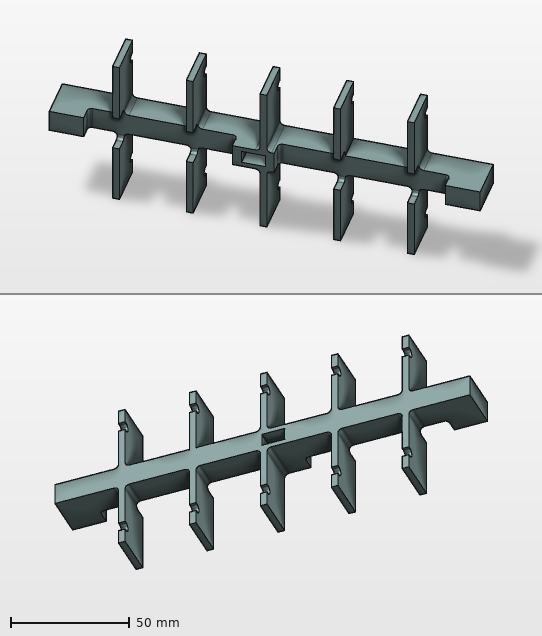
import cadquery as cq


bar_length = 190.0
depth = 19.4
bar_height = 10.3
back_y = depth / 2
front_y = -depth / 2

fin_thickness = 3.0
fin_pitch = 32.5
fin_count = 5
middle_fin_x = -0.5
upper_fin_height = 30.8
lower_fin_height = 30.4
root_radius = 2.0

sharp_upper_fin_index = 3

recessed_bar_depth = 12.4
recess_corner_radius = 1.9
recess_overhang = 3.0
recess_spans = [(-79.8, -14.2), (4.2, 79.6)]

window_length = 10.5
window_height = 5.9
window_center_x = -5.0

notch_radius = 2.0
notch_depth = 3.2
notch_tip_distance = 8.7


def block(x_min, x_max, y_min, y_max, z_min, z_max):
    """Box given by its limits along each axis."""
    size = (x_max - x_min, y_max - y_min, z_max - z_min)
    return cq.Workplane("XY").box(*size, centered=False).translate((x_min, y_min, z_min))


def root_fillet(fin_x, x_side, z_side):
    """Concave fillet filling the corner between one fin side and the bar."""
    corner_x = fin_x + x_side * fin_thickness / 2
    corner_z = z_side * bar_height / 2
    outer_x = corner_x + x_side * root_radius
    outer_z = corner_z + z_side * root_radius
    gap_to_arc = root_radius * (1 - 0.5 ** 0.5)
    return (
        cq.Workplane("XZ", origin=(0, back_y, 0))
        .moveTo(corner_x, corner_z)
        .lineTo(outer_x, corner_z)
        .threePointArc((corner_x + x_side * gap_to_arc, corner_z + z_side * gap_to_arc), (corner_x, outer_z))
        .close()
        .extrude(depth)
    )


def recess(x_min, x_max):
    """Front recess, taller than the bar so it also trims the fin roots."""
    z_limit = bar_height / 2 + recess_overhang
    bar_front_y = back_y - recessed_bar_depth
    pocket = block(x_min, x_max, front_y, bar_front_y, -z_limit, z_limit)
    return pocket.faces(">Y").edges().fillet(recess_corner_radius)


def notch(tip_z):
    """Slot along X through the back edge of every fin on one side."""
    center_y = back_y - notch_depth + notch_radius
    round_end = (
        cq.Workplane("YZ").center(center_y, tip_z).circle(notch_radius).extrude(bar_length / 2, both=True)
    )
    mouth = block(
        -bar_length / 2, bar_length / 2, center_y, back_y, tip_z - notch_radius, tip_z + notch_radius
    )
    return round_end.union(mouth)


top_z = bar_height / 2 + upper_fin_height
bottom_z = -bar_height / 2 - lower_fin_height

result = block(-bar_length / 2, bar_length / 2, front_y, back_y, -bar_height / 2, bar_height / 2)

for index in range(fin_count):
    fin_x = middle_fin_x + (index - fin_count // 2) * fin_pitch
    half_fin = fin_thickness / 2
    result = result.union(block(fin_x - half_fin, fin_x + half_fin, front_y, back_y, bottom_z, top_z))
    for z_side in (-1, 1):
        if z_side == 1 and index == sharp_upper_fin_index:
            continue
        for x_side in (-1, 1):
            result = result.union(root_fillet(fin_x, x_side, z_side))

for x_min, x_max in recess_spans:
    result = result.cut(recess(x_min, x_max))

for tip_z in (top_z - notch_tip_distance, bottom_z + notch_tip_distance):
    result = result.cut(notch(tip_z))

window = cq.Workplane("XY").box(window_length, depth, window_height)
result = result.cut(window.translate((window_center_x, 0, 0)))